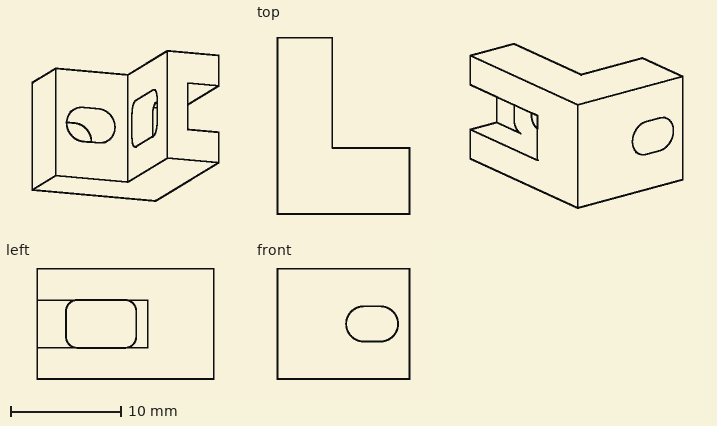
import cadquery as cq

width = 12.0
length = 16.0
height = 10.0
mid_height = height / 2

foot_depth = 6.0
arm_length = length - foot_depth
arm_thickness = arm_length / 2

channel_height = 4.32
channel_depth = 3.0

window_length = 6.34
window_radius = 1.0
window_from_end = 5.8

slot_length = 4.69
slot_height = 3.17
slot_center_x = 8.6


def make_body():
    """L-shaped block with its outer corner at the origin."""
    outline = [
        (0, 0),
        (width, 0),
        (width, foot_depth),
        (arm_thickness, foot_depth),
        (arm_thickness, length),
        (0, length),
    ]
    return cq.Workplane("XY").polyline(outline).close().extrude(height)


def make_channel():
    return (
        cq.Workplane("XY")
        .box(channel_depth, arm_length, channel_height, centered=(False, False, True))
        .translate((0, foot_depth, mid_height))
    )


def make_window():
    """Window as tall as the channel, with rounded corners, running along X."""
    return (
        cq.Workplane("XY")
        .box(arm_thickness, window_length, channel_height, centered=(False, True, True))
        .edges("|X")
        .fillet(window_radius)
        .translate((0, length - window_from_end, mid_height))
    )


def make_foot_slot():
    return (
        cq.Workplane("XZ")
        .center(slot_center_x, mid_height)
        .slot2D(slot_length, slot_height)
        .extrude(-foot_depth)
    )


result = make_body().cut(make_channel()).cut(make_window()).cut(make_foot_slot())